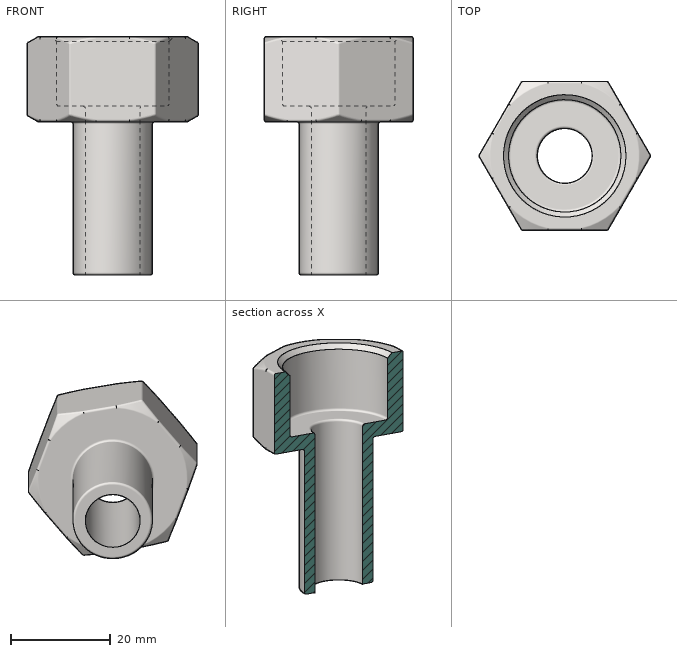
import cadquery as cq
import math

total_height = 48.0
head_sides = 6
across_flats = 30.0
head_height = 17.2
edge_round = 0.5

cone_angle = 30.0
cone_end_diameter = 30.05

shank_diameter = 16.0
bore_diameter = 11.0
socket_diameter = 22.6
socket_depth = 14.0
socket_chamfer = 1.0

head_bottom = total_height - head_height
socket_floor = total_height - socket_depth
across_corners = across_flats / math.cos(math.pi / head_sides)


def corner_cone_envelope():
    """Solid of revolution that bevels the hexagon corners at both ends."""
    end_radius = cone_end_diameter / 2
    outer_radius = across_corners / 2 + edge_round
    cone_drop = (outer_radius - end_radius) * math.tan(math.radians(cone_angle))
    profile = [
        (0, head_bottom),
        (end_radius, head_bottom),
        (outer_radius, head_bottom + cone_drop),
        (outer_radius, total_height - cone_drop),
        (end_radius, total_height),
        (0, total_height),
    ]
    return cq.Workplane("XZ").polyline(profile).close().revolve(360, (0, 0, 0), (0, 1, 0))


def hex_head():
    """Hexagonal head with conical ends and rounded edges."""
    prism = (
        cq.Workplane("XY")
        .workplane(offset=head_bottom)
        .polygon(head_sides, across_corners)
        .extrude(head_height)
    )
    return prism.intersect(corner_cone_envelope()).edges().fillet(edge_round)


def shank():
    """Round shank with a rounded free end and a filleted root under the head."""
    radius = shank_diameter / 2
    middle_height = (head_bottom + total_height) / 2
    return (
        cq.Workplane("XZ")
        .moveTo(0, 0)
        .lineTo(radius - edge_round, 0)
        .radiusArc((radius, edge_round), -edge_round)
        .lineTo(radius, head_bottom - edge_round)
        .radiusArc((radius + edge_round, head_bottom), edge_round)
        .lineTo(radius + edge_round, middle_height)
        .lineTo(0, middle_height)
        .close()
        .revolve(360, (0, 0, 0), (0, 1, 0))
    )


def cavity():
    """Chamfered socket with a rounded floor corner, and the bore below it."""
    socket_radius = socket_diameter / 2
    bore_radius = bore_diameter / 2
    return (
        cq.Workplane("XZ")
        .moveTo(0, 0)
        .lineTo(bore_radius, 0)
        .lineTo(bore_radius, socket_floor - edge_round)
        .radiusArc((bore_radius + edge_round, socket_floor), edge_round)
        .lineTo(socket_radius - edge_round, socket_floor)
        .radiusArc((socket_radius, socket_floor + edge_round), -edge_round)
        .lineTo(socket_radius, total_height - socket_chamfer)
        .lineTo(socket_radius + socket_chamfer, total_height)
        .lineTo(0, total_height)
        .close()
        .revolve(360, (0, 0, 0), (0, 1, 0))
    )


result = hex_head().union(shank()).cut(cavity())